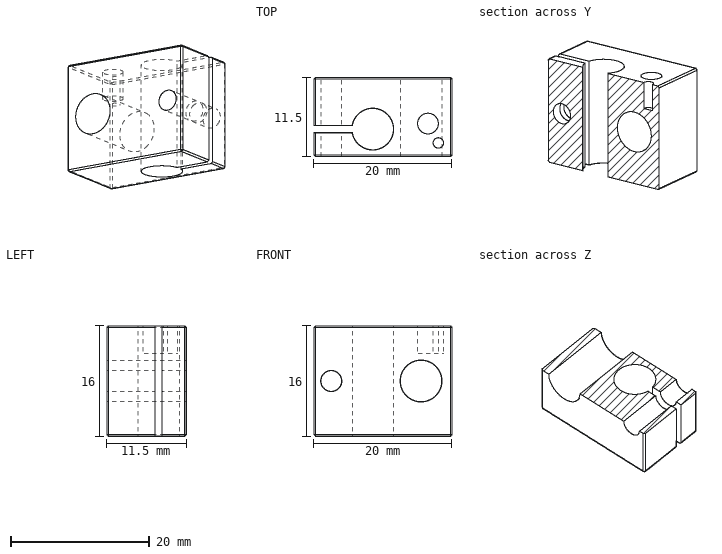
import cadquery as cq

length = 20.0
width = 11.5
height = 16.0
edge_chamfer = 0.25

clamp_bore_diameter = 6.0
clamp_bore_x = 8.5
clamp_bore_y = 4.0
slot_width = 1.0

cross_hole_z = height / 2
cross_bore_diameter = 6.0
cross_bore_x = 15.5
screw_hole_diameter = 3.0
screw_hole_x = 2.5

blind_hole_depth = 4.0
large_blind_diameter = 3.0
large_blind_x = 16.5
large_blind_y = 4.8
small_blind_diameter = 1.5
small_blind_x = 18.0
small_blind_y = 2.0


def make_block():
    """Rectangular block with every outer edge chamfered."""
    block = cq.Workplane("XY").box(length, width, height, centered=False)
    return block.edges().chamfer(edge_chamfer)


def vertical_hole(x, y, diameter, depth):
    """Cylinder reaching down from the top face."""
    return (
        cq.Workplane("XY", origin=(x, y, height - depth))
        .circle(diameter / 2)
        .extrude(depth)
    )


def cross_hole(x, diameter):
    """Cylinder along Y through the full width."""
    return (
        cq.Workplane("XZ", origin=(x, 0, cross_hole_z))
        .circle(diameter / 2)
        .extrude(-width)
    )


def clamp_slot():
    """Full-height slot from the -X end into the clamping bore."""
    return (
        cq.Workplane("XY", origin=(0, clamp_bore_y - slot_width / 2, 0))
        .box(clamp_bore_x, slot_width, height, centered=False)
    )


result = (
    make_block()
    .cut(vertical_hole(clamp_bore_x, clamp_bore_y, clamp_bore_diameter, height))
    .cut(clamp_slot())
    .cut(cross_hole(cross_bore_x, cross_bore_diameter))
    .cut(cross_hole(screw_hole_x, screw_hole_diameter))
    .cut(vertical_hole(large_blind_x, large_blind_y, large_blind_diameter, blind_hole_depth))
    .cut(vertical_hole(small_blind_x, small_blind_y, small_blind_diameter, blind_hole_depth))
)